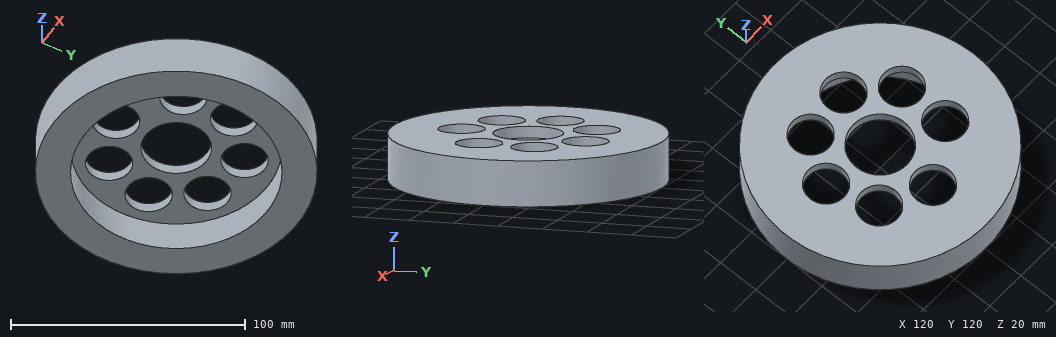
import cadquery as cq
import math

outer_diameter = 120.0
height = 20.0
recess_diameter = 90.0
web_thickness = 5.0

bore_diameter = 30.0
hole_diameter = 20.0
hole_circle_radius = 30.0
hole_count = 7
first_hole_angle = -90.0
hole_step_angle = -49.3


def hole_center(index):
    """Centre of one hole on the hole circle."""
    angle = math.radians(first_hole_angle + index * hole_step_angle)
    return (hole_circle_radius * math.cos(angle), hole_circle_radius * math.sin(angle))


disc = cq.Workplane("XY").circle(outer_diameter / 2).extrude(height)
recess = cq.Workplane("XY").circle(recess_diameter / 2).extrude(height - web_thickness)
bore = cq.Workplane("XY").circle(bore_diameter / 2).extrude(height)
holes = (
    cq.Workplane("XY")
    .pushPoints([hole_center(index) for index in range(hole_count)])
    .circle(hole_diameter / 2)
    .extrude(height)
)

result = disc.cut(recess).cut(bore).cut(holes)